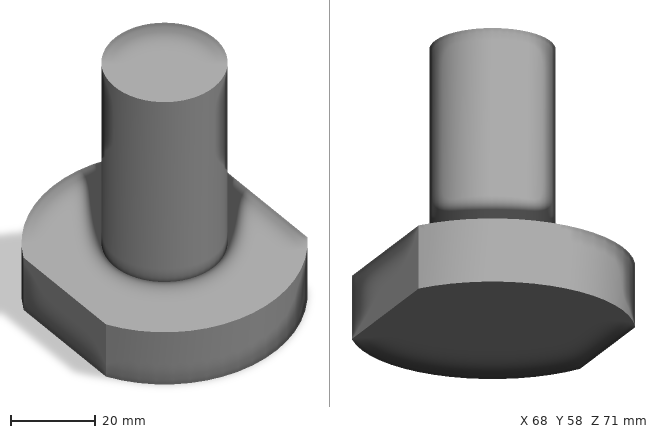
import cadquery as cq

total_height = 71.0
flange_diameter = 68.0
flange_thickness = 16.0
shaft_diameter = 30.0
front_flat_distance = 30.0
back_flat_distance = 28.0

flange_width = front_flat_distance + back_flat_distance
flange_center_y = (back_flat_distance - front_flat_distance) / 2
flat_envelope = (
    cq.Workplane("XY")
    .center(0, flange_center_y)
    .rect(flange_diameter, flange_width)
    .extrude(flange_thickness)
)
flange = (
    cq.Workplane("XY")
    .circle(flange_diameter / 2)
    .extrude(flange_thickness)
    .intersect(flat_envelope)
)

shaft = cq.Workplane("XY").circle(shaft_diameter / 2).extrude(total_height)

result = flange.union(shaft)